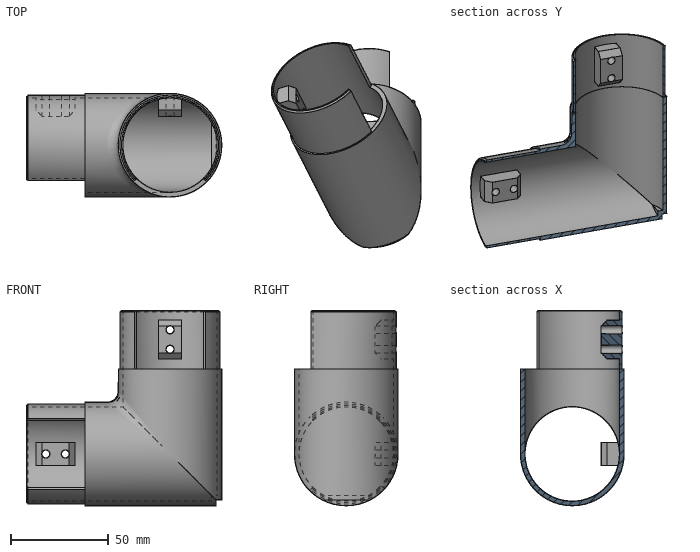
import cadquery as cq


overall_length = 100.5
elbow_diameter = 53.3
wall = 2.4
corner_inset = 3.0
sleeve_step = 0.9
sleeve_length = 30.0
rim_chamfer = 0.8
opening_turn = -135.0
inner_corner_fillet = 5.5

block_width = 12.0
block_length = 20.0
block_end_gap = 4.9
block_face_offset = 14.9
block_chamfer = 3.1
hole_diameter = 4.0
hole_spacing = 10.0

elbow_radius = elbow_diameter / 2
bore_radius = elbow_radius - wall
sleeve_radius = elbow_radius - sleeve_step
arm_reach = overall_length - elbow_radius
shoulder = arm_reach - sleeve_length
outer_corner = elbow_radius - corner_inset
bore_corner = outer_corner - wall
block_top = arm_reach - block_end_gap
block_bottom = block_top - block_length
block_middle = (block_top + block_bottom) / 2


def swap_arms(upright):
    """Mirror an upright shape in the plane Z = -X, so that it lies along -X."""
    return upright.mirror("XY").rotate((0, 0, 0), (0, 1, 0), 90)


def upright_cylinder(radius, bottom, top):
    return cq.Workplane("XY").workplane(offset=bottom).circle(radius).extrude(top - bottom)


def mitred_cylinders(radius, corner):
    """Two equal cylinders meeting on the plane Z = -X, with their ends cut square at the corner."""
    mitre_waste = (
        cq.Workplane("XZ")
        .moveTo(-overall_length, overall_length)
        .lineTo(overall_length, -overall_length)
        .lineTo(-overall_length, -overall_length)
        .close()
        .extrude(overall_length, both=True)
    )
    upright = upright_cylinder(radius, -corner, shoulder).cut(mitre_waste)
    return upright.union(swap_arms(upright))


def make_inner_corner():
    """Solid arms from the axes outwards, with a fillet where they meet at the inner corner."""
    inner_mitre = cq.selectors.BoxSelector(
        (-elbow_radius, -elbow_radius, wall), (-wall, elbow_radius, elbow_radius)
    )
    upright = upright_cylinder(elbow_radius, 0, shoulder)
    return upright.union(swap_arms(upright)).edges(inner_mitre).fillet(inner_corner_fillet)


def make_elbow():
    """Hollow right-angle elbow with a filleted inner corner and a stepped outer corner."""
    outer = mitred_cylinders(elbow_radius, outer_corner).union(make_inner_corner())
    return outer.cut(mitred_cylinders(bore_radius, bore_corner))


def make_opening():
    """Square prism with one edge on the sleeve axis, removing the -Y quarter of a sleeve."""
    return (
        cq.Workplane("XY")
        .workplane(offset=shoulder)
        .rect(elbow_diameter, elbow_diameter, centered=False)
        .extrude(sleeve_length)
        .rotate((0, 0, 0), (0, 0, 1), opening_turn)
    )


def make_block():
    """Mounting block on the +Y wall, with both ends of its flat face chamfered."""
    slope_start = block_face_offset + block_chamfer
    profile = [
        (elbow_radius, block_bottom),
        (slope_start, block_bottom),
        (block_face_offset, block_bottom + block_chamfer),
        (block_face_offset, block_top - block_chamfer),
        (slope_start, block_top),
        (elbow_radius, block_top),
    ]
    block = cq.Workplane("YZ").polyline(profile).close().extrude(block_width / 2, both=True)
    return block.intersect(upright_cylinder(sleeve_radius, shoulder, arm_reach))


def make_block_holes():
    """Two holes along Y, through the block and the sleeve wall behind it."""
    return (
        cq.Workplane("XZ")
        .pushPoints([(0, block_middle + side * hole_spacing / 2) for side in (-1, 1)])
        .circle(hole_diameter / 2)
        .extrude(-elbow_radius)
    )


def make_sleeve():
    """Upright sleeve, open towards -Y, with a chamfered rim and a mounting block."""
    shell = upright_cylinder(sleeve_radius, shoulder, arm_reach).faces(">Z").chamfer(rim_chamfer)
    shell = shell.cut(upright_cylinder(bore_radius, shoulder, arm_reach))
    return shell.cut(make_opening()).union(make_block()).cut(make_block_holes())


upper_sleeve = make_sleeve()
elbow_body = make_elbow().union(swap_arms(make_sleeve()))

result = cq.Compound.makeCompound([elbow_body.val(), upper_sleeve.val()])